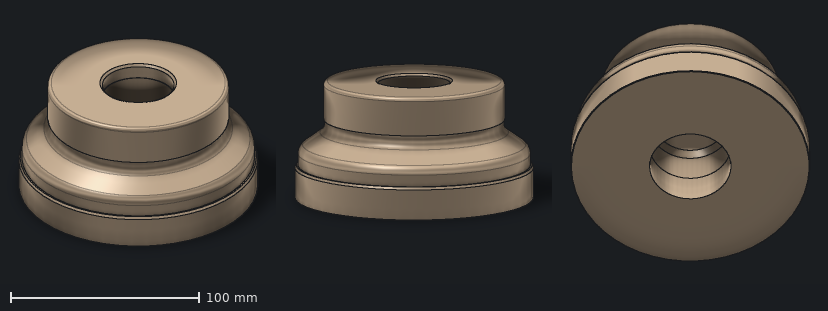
import cadquery as cq
import math

total_height = 63.5
ring_radius = 63.5
ring_height = 18.0

ring_chamfer_width = 0.8
ring_chamfer_height = 1.4
ring_bottom_chamfer = 0.4

skirt_radius = 61.8
shoulder_round = 5.8
shoulder_top_z = 29.1
cone_angle = 35.5
neck_bottom_z = 35.7
neck_round = 6.0
collar_radius = 48.3
collar_bottom_z = 42.9
collar_fillet = 2.0

bore_radius = 19.0
bore_mouth_chamfer = 1.3
lip_depth = 8.1
relief_radius = 19.3
flare_top_z = 39.6
flare_width = 2.3
flare_depth = 4.1
cavity_radius = relief_radius + flare_width

slope = math.radians(cone_angle)
shoulder_top_radius = skirt_radius - shoulder_round * (1 - math.sin(slope))
shoulder_bottom_z = shoulder_top_z - shoulder_round * math.cos(slope)
neck_bottom_radius = shoulder_top_radius - (neck_bottom_z - shoulder_top_z) / math.tan(slope)


def make_ring():
    """Base ring that carries the hub, with the cavity passing through it."""
    ring = cq.Workplane("XY").circle(ring_radius).extrude(ring_height)
    ring = ring.faces(">Z").edges().chamfer(ring_chamfer_height, ring_chamfer_width)
    ring = ring.faces("<Z").edges().chamfer(ring_bottom_chamfer)
    return ring.cut(cq.Workplane("XY").circle(cavity_radius).extrude(ring_height))


def make_hub():
    """Bell-shaped hub standing on the ring, revolved with its stepped bore."""
    profile = (
        cq.Workplane("XZ")
        .moveTo(cavity_radius, ring_height)
        .lineTo(skirt_radius, ring_height)
        .lineTo(skirt_radius, shoulder_bottom_z)
        .radiusArc((shoulder_top_radius, shoulder_top_z), -shoulder_round)
        .lineTo(neck_bottom_radius, neck_bottom_z)
        .radiusArc((collar_radius, collar_bottom_z), neck_round)
        .lineTo(collar_radius, total_height - collar_fillet)
        .radiusArc((collar_radius - collar_fillet, total_height), -collar_fillet)
        .lineTo(bore_radius + bore_mouth_chamfer, total_height)
        .lineTo(bore_radius, total_height - bore_mouth_chamfer)
        .lineTo(bore_radius, total_height - lip_depth)
        .lineTo(relief_radius, total_height - lip_depth)
        .lineTo(relief_radius, flare_top_z)
        .lineTo(cavity_radius, flare_top_z - flare_depth)
        .close()
    )
    return profile.revolve(360, (0, 0, 0), (0, 1, 0))


ring = make_ring()
hub = make_hub()
result = cq.Compound.makeCompound([ring.val(), hub.val()])